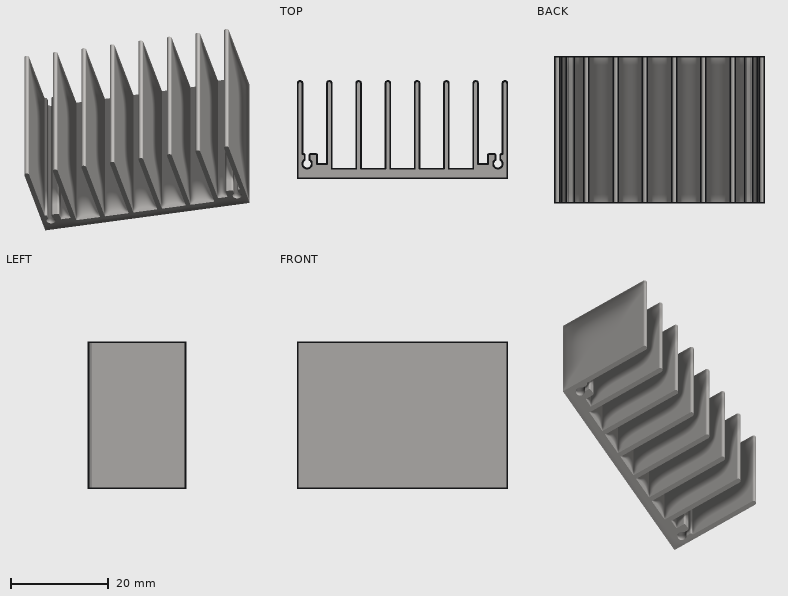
import cadquery as cq

width = 43.0
depth = 20.0
height = 30.0

base_thickness = 2.0
fin_count = 8
fin_thickness = 1.0
fin_tip_radius = fin_thickness / 2
fin_pitch = (width - fin_thickness) / (fin_count - 1)

channel_radius = 0.95
channel_x = width / 2 - fin_thickness - channel_radius
channel_y = 3.0
slot_width = 0.95
boss_width = 4.0
boss_top = 5.05
boss_corner_radius = 0.35
outer_bay_floor = channel_y


def block(x_min, x_max, y_max):
    """Full-height block standing on the back face of the base."""
    return cq.Workplane("XY").box(x_max - x_min, y_max, height, centered=False).translate((x_min, 0, 0))


def fin(x_center):
    """Fin with a fully rounded tip."""
    tip_y = depth - fin_tip_radius
    shank = block(x_center - fin_tip_radius, x_center + fin_tip_radius, tip_y)
    tip = cq.Workplane("XY").center(x_center, tip_y).circle(fin_tip_radius).extrude(height)
    return shank.union(tip)


def lip(x_min, x_max, rounded_edges):
    """Wall beside the channel slot, with its chosen free corners rounded."""
    return block(x_min, x_max, boss_top).edges(rounded_edges).fillet(boss_corner_radius)


def left_channel_walls():
    """Raised floor and the two lips of the left screw channel."""
    outer_face = -width / 2
    slot_left = -channel_x - slot_width / 2
    slot_right = -channel_x + slot_width / 2
    floor = block(outer_face, outer_face + fin_pitch + fin_tip_radius, outer_bay_floor)
    outer_lip = lip(outer_face, slot_left, "|Z and >Y and >X")
    inner_lip = lip(slot_right, outer_face + boss_width, "|Z and >Y")
    return floor.union(outer_lip).union(inner_lip)


def left_channel_bore():
    """Round screw channel of the left bay."""
    return cq.Workplane("XY").center(-channel_x, channel_y).circle(channel_radius).extrude(height)


channel_walls = left_channel_walls()
result = block(-width / 2, width / 2, base_thickness)
result = result.union(channel_walls).union(channel_walls.mirror("YZ"))

first_fin_x = -(width - fin_thickness) / 2
for index in range(fin_count):
    result = result.union(fin(first_fin_x + index * fin_pitch))

channel_bore = left_channel_bore()
result = result.cut(channel_bore).cut(channel_bore.mirror("YZ"))